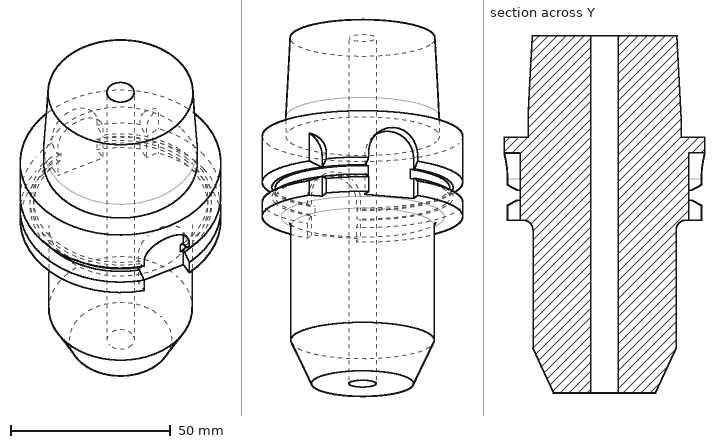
import cadquery as cq
import math

total_height = 112.0
nose_radius = 16.0
body_radius = 22.5
nose_height = 14.0
bore_radius = 4.3

flange_radius = 31.5
flange_bottom = 54.1
flange_top = 80.2
fillet_radius = 3.0
groove_radius = 27.3
groove_shoulder_radius = 28.5
groove_bottom = 60.5
groove_top = 63.5
groove_chamfer_height = 1.7

spigot_radius = 24.1
spigot_top = 86.5
shank_top_radius = 22.7

slot_radius = 8.1
slot_center_height = 67.1
slot_floor = 26.4
notch_corner = 20.0


def make_body():
    """Revolve the half outline about Z."""
    fillet_center_r = body_radius + fillet_radius
    fillet_center_z = flange_bottom - fillet_radius
    fillet_mid = fillet_radius * math.sqrt(0.5)
    return (
        cq.Workplane("XZ")
        .moveTo(0, 0)
        .lineTo(nose_radius, 0)
        .lineTo(body_radius, nose_height)
        .lineTo(body_radius, fillet_center_z)
        .threePointArc(
            (fillet_center_r - fillet_mid, fillet_center_z + fillet_mid),
            (fillet_center_r, flange_bottom),
        )
        .lineTo(flange_radius, flange_bottom)
        .lineTo(flange_radius, groove_bottom - groove_chamfer_height)
        .lineTo(groove_shoulder_radius, groove_bottom)
        .lineTo(groove_radius, groove_bottom)
        .lineTo(groove_radius, groove_top)
        .lineTo(groove_shoulder_radius, groove_top)
        .lineTo(flange_radius, groove_top + groove_chamfer_height)
        .lineTo(flange_radius, flange_top)
        .lineTo(spigot_radius, flange_top)
        .lineTo(spigot_radius, spigot_top)
        .lineTo(shank_top_radius, total_height)
        .lineTo(0, total_height)
        .close()
        .revolve(360, (0, 0), (0, 1))
    )


def slot_cutter(center_y, floor_distance):
    """Round-topped slot open at the flange underside, cut from the -X side to a flat floor."""
    return (
        cq.Workplane("YZ", origin=(-floor_distance, center_y, 0))
        .moveTo(-slot_radius, flange_bottom)
        .lineTo(-slot_radius, slot_center_height)
        .threePointArc(
            (0, slot_center_height + slot_radius),
            (slot_radius, slot_center_height),
        )
        .lineTo(slot_radius, flange_bottom)
        .close()
        .extrude(floor_distance - flange_radius)
    )


drive_slot = slot_cutter(0, slot_floor)
opposite_drive_slot = drive_slot.rotate((0, 0, 0), (0, 0, 1), 180)
corner_notch = slot_cutter(notch_corner + slot_radius, notch_corner)
bore = cq.Workplane("XY").circle(bore_radius).extrude(total_height)

result = make_body()
for cutter in (drive_slot, opposite_drive_slot, corner_notch, bore):
    result = result.cut(cutter)